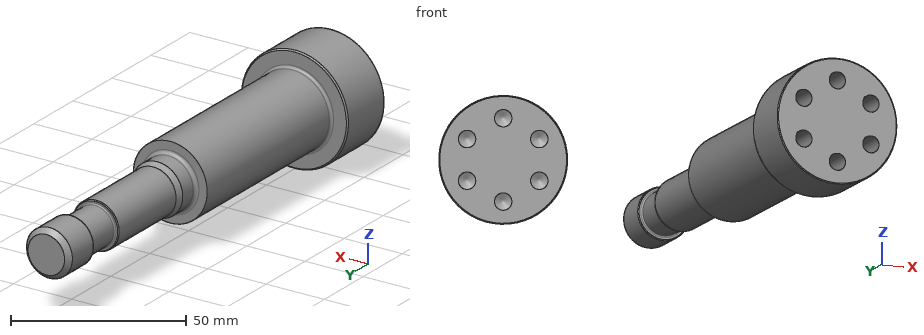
import cadquery as cq
import math

total_length = 146.0
head_length = 19.0
body_length = 63.5
tip_length = 12.7
groove_width = 12.5
collar_length = 8.8
collar_taper_length = 2.2

head_radius = 36.8 / 2
body_radius = 25.4 / 2
collar_radius = 17.4 / 2
pin_radius = 15.8 / 2
groove_radius = 13.1 / 2

head_front_chamfer = 0.3
head_back_chamfer = 0.5
head_fillet = 0.9
collar_fillet = 1.2
groove_chamfer = 0.3
groove_fillet = 0.5
tip_chamfer = 1.6

hole_count = 6
hole_radius = 5.0 / 2
hole_circle_radius = 23.8 / 2
hole_depth = 12.7
drill_point_angle = 118.0

body_end = head_length + body_length
collar_end = body_end + collar_length
collar_taper_start = collar_end - collar_taper_length
groove_end = total_length - tip_length
groove_start = groove_end - groove_width


def fillet_in(profile, radius, shoulder, fillet):
    """Run in along a shoulder face, then fillet into the cylinder beyond it."""
    bulge = fillet * (1 - math.sqrt(0.5))
    return (
        profile.lineTo(radius + fillet, shoulder)
        .threePointArc((radius + bulge, shoulder + bulge), (radius, shoulder + fillet))
    )


def fillet_out(profile, radius, shoulder, fillet):
    """Run along a cylinder, then fillet out onto the shoulder face at its far end."""
    bulge = fillet * (1 - math.sqrt(0.5))
    return (
        profile.lineTo(radius, shoulder - fillet)
        .threePointArc((radius + bulge, shoulder - bulge), (radius + fillet, shoulder))
    )


def turned_shaft():
    """Revolve the stepped half profile about the Y axis."""
    profile = (
        cq.Workplane("XY")
        .lineTo(head_radius - head_front_chamfer, 0)
        .lineTo(head_radius, head_front_chamfer)
        .lineTo(head_radius, head_length - head_back_chamfer)
        .lineTo(head_radius - head_back_chamfer, head_length)
    )
    profile = fillet_in(profile, body_radius, head_length, head_fillet)
    profile = profile.lineTo(body_radius, body_end)
    profile = fillet_in(profile, collar_radius, body_end, collar_fillet)
    profile = (
        profile.lineTo(collar_radius, collar_taper_start)
        .lineTo(pin_radius, collar_end)
        .lineTo(pin_radius, groove_start - groove_chamfer)
        .lineTo(pin_radius - groove_chamfer, groove_start)
    )
    profile = fillet_in(profile, groove_radius, groove_start, groove_fillet)
    profile = fillet_out(profile, groove_radius, groove_end, groove_fillet)
    profile = (
        profile.lineTo(pin_radius - groove_chamfer, groove_end)
        .lineTo(pin_radius, groove_end + groove_chamfer)
        .lineTo(pin_radius, total_length - tip_chamfer)
        .lineTo(pin_radius - tip_chamfer, total_length)
        .lineTo(0, total_length)
        .close()
    )
    return profile.revolve(360, (0, 0), (0, 1))


def drilled_hole():
    """Blind hole along +Y with a conical bottom, centred on the Y axis."""
    point_length = hole_radius / math.tan(math.radians(drill_point_angle / 2))
    return (
        cq.Workplane("XY")
        .lineTo(hole_radius, 0)
        .lineTo(hole_radius, hole_depth)
        .lineTo(0, hole_depth + point_length)
        .close()
        .revolve(360, (0, 0), (0, 1))
    )


result = turned_shaft()
for index in range(hole_count):
    hole = drilled_hole().translate((0, 0, hole_circle_radius))
    turn = index * 360 / hole_count
    result = result.cut(hole.rotate((0, 0, 0), (0, 1, 0), turn))